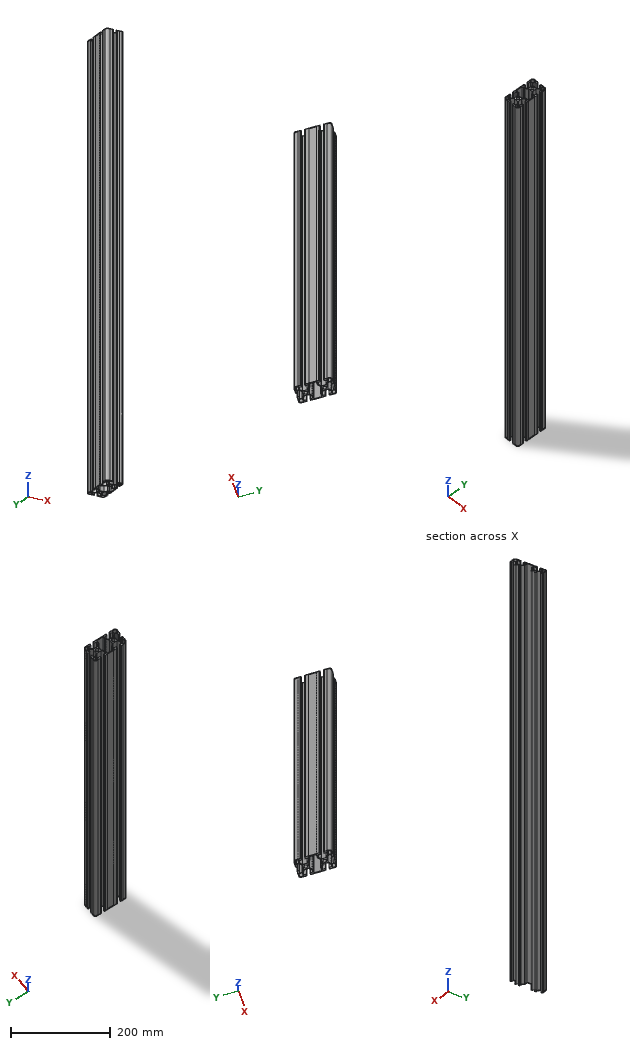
import math

import cadquery as cq

MODULE = 40.0
LENGTH = 1000.0
HALF = MODULE / 2
CORNER_RADIUS = 4.65
MODULE_CENTRES = (-HALF, HALF)

CORE_WIDTH = 12.0
CORE_HALF = CORE_WIDTH / 2
CORE_BORE = 6.8
WEB_THICKNESS = 2.0
WEB_OFFSET = WEB_THICKNESS / math.sqrt(2)
CORE_FACE_HALF = CORE_HALF - WEB_OFFSET

SLOT_OPENING = 7.8
RECESS_WIDTH = 11.5
RECESS_DEPTH = 0.3
LIP_THICKNESS = 4.0
UNDERCUT_WIDTH = 20.0

OUTER_WALL = 1.8
CORNER_HOLLOW = 7.2
CORNER_HOLLOW_RADIUS = 1.5
CENTRE_SIDE_HEIGHT = 16.0


def outer_body():
    """Solid bar with rounded long edges."""
    body = cq.Workplane("XY").rect(MODULE, 2 * MODULE).extrude(LENGTH)
    return body.edges("|Z").fillet(CORNER_RADIUS)


def mirrored_prism(upper_points):
    """Full-length prism outlined by the given points and their mirror image across the X axis."""
    lower_points = [(x, -y) for x, y in reversed(upper_points)]
    return cq.Workplane("XY").polyline(upper_points + lower_points).close().extrude(LENGTH)


def slot_cutter(centre_y, direction):
    """T-slot of one module, open towards the given angle in degrees from +X."""
    recess = RECESS_WIDTH / 2
    recess_floor = HALF - RECESS_DEPTH
    opening = SLOT_OPENING / 2
    undercut = UNDERCUT_WIDTH / 2
    lip = HALF - LIP_THICKNESS
    cutter = mirrored_prism([
        (HALF, recess),
        (recess_floor, recess),
        (recess_floor, opening),
        (lip, opening),
        (lip, undercut),
        (undercut + WEB_OFFSET, undercut),
        (CORE_HALF, CORE_FACE_HALF),
    ])
    return cutter.rotate((0, 0, 0), (0, 0, 1), direction).translate((0, centre_y, 0))


def core_bore(centre_y):
    """Round bore through the core of one module."""
    return cq.Workplane("XY").center(0, centre_y).circle(CORE_BORE / 2).extrude(LENGTH)


def corner_hollow(side_x, side_y):
    """Square hollow inside one outer corner of the profile, rounded towards that corner."""
    inset = OUTER_WALL + CORNER_HOLLOW / 2
    centre_x = side_x * (HALF - inset)
    centre_y = side_y * (MODULE - inset)
    hollow = cq.Workplane("XY").center(centre_x, centre_y).rect(CORNER_HOLLOW, CORNER_HOLLOW).extrude(LENGTH)
    outermost_edge = cq.selectors.DirectionMinMaxSelector(cq.Vector(side_x, side_y, 0))
    return hollow.edges("|Z").edges(outermost_edge).fillet(CORNER_HOLLOW_RADIUS)


def centre_hollow():
    """Large hollow between the two cores, bounded by the side walls and the diagonal webs."""
    wall = HALF - OUTER_WALL
    side = CENTRE_SIDE_HEIGHT / 2
    core_face = HALF - CORE_HALF
    shoulder = CORE_FACE_HALF + core_face - side
    return mirrored_prism([
        (wall, side),
        (shoulder, side),
        (CORE_FACE_HALF, core_face),
        (-CORE_FACE_HALF, core_face),
        (-shoulder, side),
        (-wall, side),
    ])


result = outer_body().cut(centre_hollow())
for module_y in MODULE_CENTRES:
    outward_side = math.copysign(1, module_y)
    outward_direction = outward_side * 90
    for slot_direction in (0, 180, outward_direction):
        result = result.cut(slot_cutter(module_y, slot_direction))
    result = result.cut(core_bore(module_y))
    for side in (-1, 1):
        result = result.cut(corner_hollow(side, outward_side))